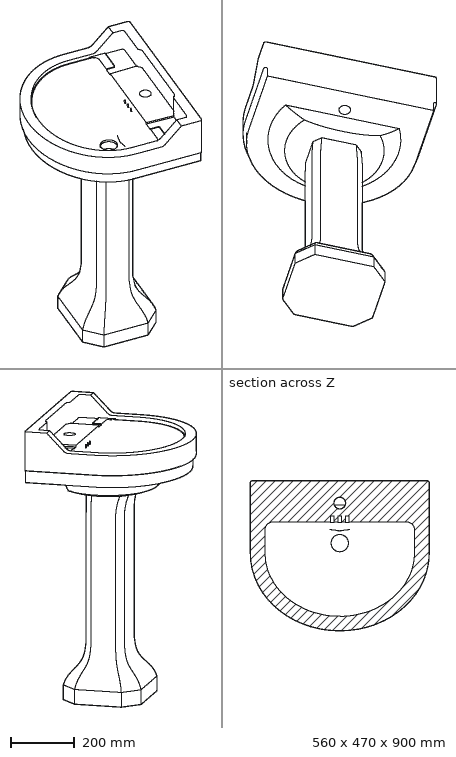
import cadquery as cq
import math


TOTAL_HEIGHT = 900.0
BASIN_WIDTH = 560.0
BASIN_DEPTH = 470.0
STRAIGHT_SIDE = 227.0
RIM_TOP = 839.0
RIM_BOTTOM = 774.0
SKIRT_BOTTOM = 733.5
SKIRT_INSET = 11.0
SKIRT_FILLET = 5.0
BACK_CORNER_RADIUS = 7.0
UPSTAND_DEPTH = 72.0
SLOPE_RUN = TOTAL_HEIGHT - RIM_TOP
SLOPE_FILLET = 22.0

WALL = 35.0
POCKET_CORNER_RADIUS = 8.0
SIDE_SHELF_TOP = 826.0
CENTRE_SHELF_TOP = 832.0
PAD_TOP = 829.0
CENTRE_SHELF_BACK_HALF = 140.0
CENTRE_SHELF_FRONT_HALF = 138.0
RECESS_BACK_HALF = 128.0
RECESS_FRONT_HALF = 134.0
RECESS_WALL = 25.0
RECESS_CORNER_RADIUS = 10.0
PAD_BACK = 98.0
PAD_INNER = 168.0
PAD_CORNER_RADIUS = 5.0
SHELF_FRONT = 129.0
TAP_HOLE_RADIUS = 18.0
TAP_HOLE_Y = -70.0

DRAIN_Y = -195.0
DRAIN_RADIUS = 27.0
DRAIN_SEAT_RADIUS = 39.0
DRAIN_SEAT_Z = 668.0
BOWL_EDGE_INSET = 3.0
BOWL_CORNER_RADIUS = 23.0
SEAT_FLAT = 1.0
BOWL_STATIONS = [
    (DRAIN_SEAT_Z, 0),
    (682.0, 0.35),
    (731.0, 0.72),
    (778.5, 0.9),
    (SIDE_SHELF_TOP, 1),
]
OVERFLOW_RADIUS = 5.0
OVERFLOW_PITCH = 23.0
OVERFLOW_Z = 802.0
OVERFLOW_DEPTH = 18.0

UNDERSIDE_TOP_RADIUS = 208.0
UNDERSIDE_MID_RADIUS = 187.0
UNDERSIDE_MID_Z = 710.0
UNDERSIDE_EDGE_RADIUS = 156.0
UNDERSIDE_EDGE_Z = 679.5
UNDERSIDE_CURVE_RADIUS = 119.0
UNDERSIDE_CURVE_Z = 667.0
UNDERSIDE_FLAT_RADIUS = 85.5
UNDERSIDE_BOTTOM = 661.0
UNDERSIDE_BACK = 99.0

PEDESTAL_Y = -202.0
BASE_HALF_WIDTH = 146.0
BASE_HALF_DEPTH = 126.0
BASE_CORNER = 50.0
BASE_HEIGHT = 48.0
SHAFT_CORNER = 22.5
SHAFT_INSET = 64.0
SHAFT_START = 180.0
SHAFT_END = 594.0
NECK_STATIONS = [(67.0, 7.0), (92.0, 25.0), (123.0, 50.0), (153.0, 60.0)]
HEAD_SIDE_INSET = 4.0
HEAD_FRONT_FLARE = 13.0
HEAD_MIDDLE = 630.0
HEAD_MIDDLE_SHARE = 0.3
DRAIN_POCKET_DEPTH = 27.0

BASIN_HALF = BASIN_WIDTH / 2
POCKET_HALF = BASIN_HALF - WALL


def rounded_front_outline(z, inset, back):
    """Closed outline at height z: straight back and sides, half-elliptical front."""
    half = BASIN_HALF - inset
    front_radius = BASIN_DEPTH - STRAIGHT_SIDE - inset
    return (
        cq.Workplane("XY", origin=(0, 0, z))
        .moveTo(half, -back)
        .lineTo(-half, -back)
        .lineTo(-half, -STRAIGHT_SIDE)
        .ellipseArc(half, front_radius, 180, 360, startAtCurrent=True)
        .close()
    )


def is_cove_edge(edge):
    """True for the inner corner where the skirt meets the underside of the rim."""
    tolerance = 0.1
    return all(
        abs(abs(end.X) - BASIN_HALF + SKIRT_INSET) < tolerance and abs(end.Z - RIM_BOTTOM) < tolerance
        for end in edge.Vertices()
    )


def make_rim():
    """Upper tier with the full-height upstand, its sloping side walls and the skirt below."""
    upper = rounded_front_outline(RIM_BOTTOM, 0, 0).extrude(TOTAL_HEIGHT - RIM_BOTTOM)
    upper = upper.edges("|Z and >Y").fillet(BACK_CORNER_RADIUS)
    slope_end = UPSTAND_DEPTH + SLOPE_RUN
    tangent = SLOPE_FILLET * math.tan(math.radians(45) / 2)
    diagonal = tangent * math.cos(math.radians(45))
    sag = SLOPE_FILLET * (1 - math.cos(math.radians(45) / 2))
    front = BASIN_DEPTH + 9
    above = (
        cq.Workplane("YZ", origin=(-BASIN_HALF - 9, 0, 0))
        .moveTo(-UPSTAND_DEPTH, TOTAL_HEIGHT)
        .lineTo(-slope_end + diagonal, RIM_TOP + diagonal)
        .threePointArc(
            (-slope_end - tangent + SLOPE_FILLET * math.sin(math.radians(45) / 2), RIM_TOP + sag),
            (-slope_end - tangent, RIM_TOP),
        )
        .lineTo(-front, RIM_TOP)
        .lineTo(-front, TOTAL_HEIGHT)
        .close()
        .extrude(BASIN_WIDTH + 18)
    )
    skirt = rounded_front_outline(SKIRT_BOTTOM, SKIRT_INSET, 0).extrude(RIM_BOTTOM - SKIRT_BOTTOM)
    rim = upper.cut(above).union(skirt)
    return rim.edges().filter(is_cove_edge).fillet(SKIRT_FILLET)


def make_underside():
    """Turned shell under the bowl, cut flat at the back."""
    turned = (
        cq.Workplane("XZ", origin=(0, DRAIN_Y, 0))
        .moveTo(0, SKIRT_BOTTOM)
        .lineTo(UNDERSIDE_TOP_RADIUS, SKIRT_BOTTOM)
        .threePointArc(
            (UNDERSIDE_MID_RADIUS, UNDERSIDE_MID_Z), (UNDERSIDE_EDGE_RADIUS, UNDERSIDE_EDGE_Z)
        )
        .threePointArc(
            (UNDERSIDE_CURVE_RADIUS, UNDERSIDE_CURVE_Z), (UNDERSIDE_FLAT_RADIUS, UNDERSIDE_BOTTOM)
        )
        .lineTo(0, UNDERSIDE_BOTTOM)
        .close()
        .revolve(360, (0, 0), (0, 1))
    )
    behind = (
        cq.Workplane("XY", origin=(0, -UNDERSIDE_BACK, UNDERSIDE_BOTTOM))
        .rect(BASIN_WIDTH, 2 * BASIN_DEPTH)
        .extrude(SKIRT_BOTTOM - UNDERSIDE_BOTTOM)
        .translate((0, BASIN_DEPTH, 0))
    )
    return turned.cut(behind)


def make_pocket():
    """Space inside the rim, down to the side shelves, with a deeper recess along the back."""
    pocket = rounded_front_outline(SIDE_SHELF_TOP, WALL, WALL).extrude(TOTAL_HEIGHT - SIDE_SHELF_TOP)
    pocket = pocket.edges("|Z and >Y").fillet(POCKET_CORNER_RADIUS)
    recess = (
        cq.Workplane("XY", origin=(0, 0, SIDE_SHELF_TOP))
        .polyline(
            [
                (-RECESS_FRONT_HALF, -WALL),
                (-RECESS_BACK_HALF, -RECESS_WALL),
                (RECESS_BACK_HALF, -RECESS_WALL),
                (RECESS_FRONT_HALF, -WALL),
            ]
        )
        .close()
        .extrude(TOTAL_HEIGHT - SIDE_SHELF_TOP)
    )
    recess_corners = cq.selectors.BoxSelector(
        (-RECESS_FRONT_HALF - 1.0, -WALL - 1.0, SIDE_SHELF_TOP),
        (RECESS_FRONT_HALF + 1.0, -RECESS_WALL + 1.0, TOTAL_HEIGHT),
    )
    return pocket.union(recess).edges("|Z").edges(recess_corners).fillet(RECESS_CORNER_RADIUS)


def make_centre_shelf():
    """Raised middle of the shelf, around the tap hole."""
    return (
        cq.Workplane("XY", origin=(0, 0, SIDE_SHELF_TOP))
        .polyline(
            [
                (-CENTRE_SHELF_BACK_HALF, -RECESS_WALL),
                (CENTRE_SHELF_BACK_HALF, -RECESS_WALL),
                (CENTRE_SHELF_FRONT_HALF, -SHELF_FRONT),
                (-CENTRE_SHELF_FRONT_HALF, -SHELF_FRONT),
            ]
        )
        .close()
        .extrude(CENTRE_SHELF_TOP - SIDE_SHELF_TOP)
    )


def make_pad(side):
    """Raised pad at one front corner of the shelf; side is -1 or 1."""
    length = POCKET_HALF - PAD_INNER
    depth = SHELF_FRONT + BOWL_CORNER_RADIUS - PAD_BACK
    pad = (
        cq.Workplane("XY", origin=(side * PAD_INNER, -PAD_BACK, SIDE_SHELF_TOP))
        .rect(side * length, -depth, centered=False)
        .extrude(PAD_TOP - SIDE_SHELF_TOP)
    )
    inner_edge = "<X" if side > 0 else ">X"
    return pad.edges("|Z").edges(">Y").edges(inner_edge).fillet(PAD_CORNER_RADIUS)


def bowl_section(z, spread):
    """Outline of the bowl at height z: round at the drain seat (spread 0), the rim shape at spread 1."""

    def blend(at_seat, at_edge):
        return at_seat + (at_edge - at_seat) * spread

    edge_inset = WALL + BOWL_EDGE_INSET
    half = blend(DRAIN_SEAT_RADIUS, BASIN_HALF - edge_inset)
    back = blend(DRAIN_Y + DRAIN_SEAT_RADIUS, -SHELF_FRONT)
    front = blend(DRAIN_Y - DRAIN_SEAT_RADIUS, edge_inset - BASIN_DEPTH)
    side_end = blend(DRAIN_Y, -STRAIGHT_SIDE)
    corner = blend(DRAIN_SEAT_RADIUS - SEAT_FLAT, BOWL_CORNER_RADIUS)
    corner_middle = corner * (1 - math.sqrt(0.5))
    return (
        cq.Workplane("XY", origin=(0, 0, z))
        .moveTo(half - corner, back)
        .lineTo(corner - half, back)
        .threePointArc((corner_middle - half, back - corner_middle), (-half, back - corner))
        .lineTo(-half, side_end)
        .ellipseArc(half, side_end - front, 180, 360, startAtCurrent=True)
        .lineTo(half, back - corner)
        .threePointArc((half - corner_middle, back - corner_middle), (half - corner, back))
        .close()
    )


def make_bowl():
    """Hollow of the bowl, blended from the drain seat up to the shape of the rim."""
    sections = [bowl_section(z, spread).wire().val() for z, spread in BOWL_STATIONS]
    dish = cq.Workplane(cq.Solid.makeLoft(sections))
    edge_z, edge_spread = BOWL_STATIONS[-1]
    mouth = bowl_section(edge_z, edge_spread).extrude(RIM_TOP - edge_z)
    return dish.union(mouth)


def make_overflow_holes():
    """Row of three small holes in the back wall of the bowl."""
    return (
        cq.Workplane("XZ", origin=(0, -SHELF_FRONT + OVERFLOW_DEPTH, OVERFLOW_Z))
        .rarray(OVERFLOW_PITCH, 9, 3, 1)
        .circle(OVERFLOW_RADIUS)
        .extrude(2 * OVERFLOW_DEPTH)
    )


def round_hole(radius, y, bottom, top):
    return cq.Workplane("XY", origin=(0, y, bottom)).circle(radius).extrude(top - bottom)


def make_basin():
    basin = make_rim().union(make_underside()).cut(make_pocket()).union(make_centre_shelf())
    for side in (-1, 1):
        basin = basin.union(make_pad(side))
    basin = basin.cut(make_bowl())
    basin = basin.cut(make_overflow_holes())
    basin = basin.cut(round_hole(TAP_HOLE_RADIUS, TAP_HOLE_Y, SKIRT_BOTTOM, TOTAL_HEIGHT))
    return basin.cut(round_hole(DRAIN_RADIUS, DRAIN_Y, UNDERSIDE_BOTTOM, DRAIN_SEAT_Z))


def octagon(z, half_width, back, front, corner):
    """Rectangle with cut corners at height z, as a wire for lofting."""
    points = [
        (half_width, back - corner),
        (half_width - corner, back),
        (corner - half_width, back),
        (-half_width, back - corner),
        (-half_width, front + corner),
        (corner - half_width, front),
        (half_width - corner, front),
        (half_width, front + corner),
    ]
    return cq.Wire.makePolygon([cq.Vector(x, y, z) for x, y in points], close=True)


def pedestal_section(z, inset):
    """Pedestal outline at height z, a given distance inside the outline of its base."""
    corner = BASE_CORNER + (SHAFT_CORNER - BASE_CORNER) * inset / SHAFT_INSET
    half_depth = BASE_HALF_DEPTH - inset
    return octagon(
        z, BASE_HALF_WIDTH - inset, PEDESTAL_Y + half_depth, PEDESTAL_Y - half_depth, corner
    )


def head_section(z, share):
    """Pedestal outline in the head, with the given share of its final change in shape."""
    half_depth = BASE_HALF_DEPTH - SHAFT_INSET
    return octagon(
        z,
        BASE_HALF_WIDTH - SHAFT_INSET - HEAD_SIDE_INSET * share,
        PEDESTAL_Y + half_depth,
        PEDESTAL_Y - half_depth - HEAD_FRONT_FLARE * share,
        SHAFT_CORNER,
    )


def make_pedestal():
    """Block base, curved neck, straight shaft and a head that swells forward under the basin."""
    base_bottom = pedestal_section(0, 0)
    base_top = pedestal_section(BASE_HEIGHT, 0)
    neck = [pedestal_section(z, inset) for z, inset in NECK_STATIONS]
    shaft_bottom = pedestal_section(SHAFT_START, SHAFT_INSET)
    shaft_top = pedestal_section(SHAFT_END, SHAFT_INSET)
    head_middle = head_section(HEAD_MIDDLE, HEAD_MIDDLE_SHARE)
    head_top = head_section(UNDERSIDE_BOTTOM, 1)
    stretches = [
        [base_bottom, base_top],
        [base_top, *neck, shaft_bottom],
        [shaft_bottom, shaft_top],
        [shaft_top, head_middle, head_top],
    ]
    pedestal = cq.Workplane()
    for sections in stretches:
        pedestal = pedestal.union(cq.Workplane(cq.Solid.makeLoft(sections)))
    drain_pocket = round_hole(
        DRAIN_RADIUS, DRAIN_Y, UNDERSIDE_BOTTOM - DRAIN_POCKET_DEPTH, UNDERSIDE_BOTTOM
    )
    return pedestal.cut(drain_pocket)


basin = make_basin()
pedestal = make_pedestal()
result = cq.Compound.makeCompound([basin.val(), pedestal.val()])